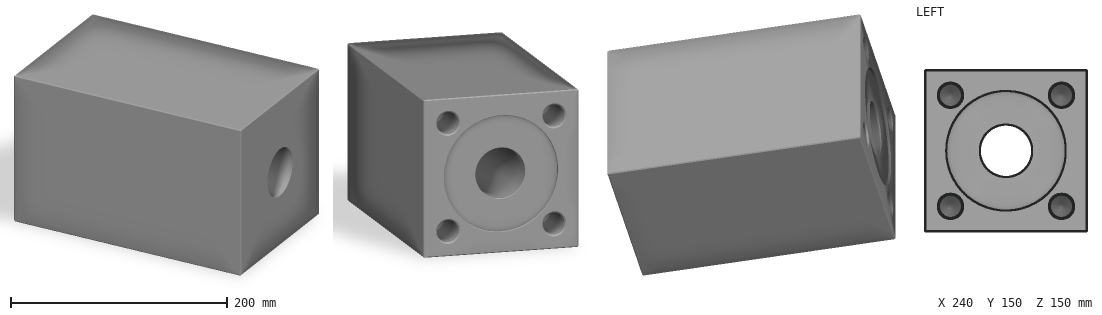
import cadquery as cq

length = 240
side = 150.0
edge_chamfer = 1.0

bore_diameter = 48
recess_diameter = 110.2
recess_depth = 2.5
rim_chamfer = 0.5

hole_diameter = 21.0
hole_mouth_diameter = 23.8
hole_depth = 48
hole_spacing = 102.7
drill_tip_depth = 6.2


def block():
    body = cq.Workplane("XY").box(length, side, side)
    return body.edges().chamfer(edge_chamfer)


def turned_cutter(profile):
    """Revolve (depth, radius) points about the X axis, with depth 0 on the -X face."""
    cutter = cq.Workplane("XY").polyline(profile).close().revolve(360, (0, 0, 0), (1, 0, 0))
    return cutter.translate((-length / 2, 0, 0))


def bore_and_recess():
    """Through bore behind the recess, both with a lightly chamfered rim on the -X side."""
    bore_radius = bore_diameter / 2
    wall_radius = recess_diameter / 2
    mouth_radius = wall_radius + rim_chamfer
    profile = [
        (0, 0),
        (0, mouth_radius),
        (rim_chamfer, wall_radius),
        (recess_depth, wall_radius),
        (recess_depth, bore_radius + rim_chamfer),
        (recess_depth + rim_chamfer, bore_radius),
        (length, bore_radius),
        (length, 0),
    ]
    return turned_cutter(profile)


def mounting_hole(y, z):
    """Blind hole with a chamfered mouth and a conical drill tip."""
    radius = hole_diameter / 2
    mouth_radius = hole_mouth_diameter / 2
    profile = [
        (0, 0),
        (0, mouth_radius),
        (mouth_radius - radius, radius),
        (hole_depth, radius),
        (hole_depth + drill_tip_depth, 0),
    ]
    return turned_cutter(profile).translate((0, y, z))


result = block().cut(bore_and_recess())
for y_sign in (-1, 1):
    for z_sign in (-1, 1):
        result = result.cut(mounting_hole(y_sign * hole_spacing / 2, z_sign * hole_spacing / 2))